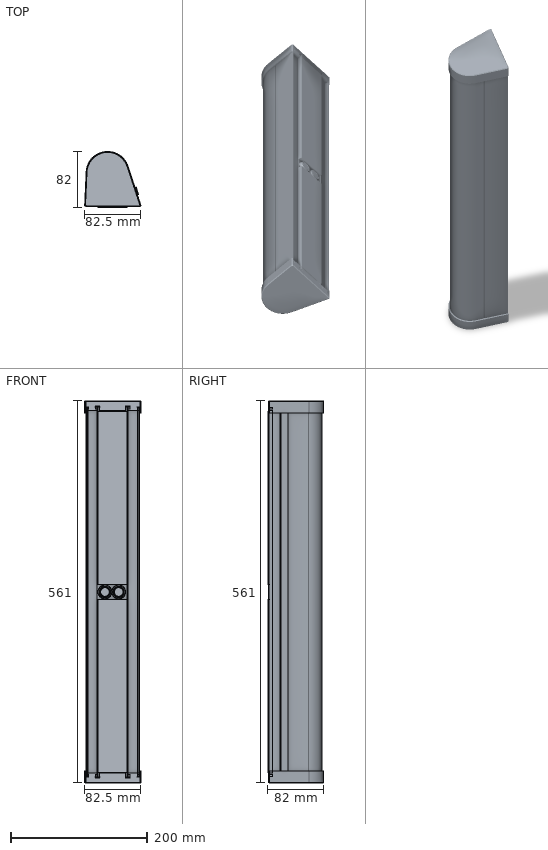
import cadquery as cq
import math

HEIGHT = 561.0
SHARP_WIDTH = 83.0
BACK_RADIUS = 31.5
BACK_CENTRE = (-8.0, 9.5)
CAP_FRONT_Y = -40.0
HOUSING_INSET = 2.15

CAP_HEIGHT = 18.0
CAP_END_CHAMFER = 1.0
CAP_CORNER_CHAMFER = 1.5
FRONT_SKIRT_RAISE = 3.5
HOUSING_TOP_Z = 271.5
TONGUE_WIDTH = 2.0
WINDOW_WIDTH = 6.0
WINDOW_Z = (268.0, 273.0)
CORNER_WINDOW_WIDTH = 3.5
CORNER_WINDOW_Z = (268.0, 271.0)

STRIP_Y = -34.0
LIP_Y = -39.0
LIP_TIP_WIDTH = 1.0
LIP_FOOT_WIDTH = 3.0
LAND_Y = -40.0
LAND_CENTRE_X = -0.5
LAND_FOOT_WIDTH = 46.0
LAND_TIP_WIDTH = 42.5
LAND_TOP_Z = 265.0

GROOVE_Y = -3.0
GROOVE_WIDTH = 1.5
GROOVE_DEPTH = 1.0
RAIL_Y = -18.0
RAIL_WIDTH = 11.0
RAIL_HEIGHT = 4.0

PANEL_FRONT_Y = -41.0
RECESS_HEIGHT = 22.0
RECESS_FLOOR_Y = -35.5

CONNECTOR_PITCH = 20.0
CONNECTOR_CENTRE_X = -1.5
COLLAR_FOOT_DIAMETER = 20.0
COLLAR_TIP_DIAMETER = 16.0
SOCKET_DIAMETER = 13.5
CORE_DIAMETER = 13.0
CONNECTOR_HEIGHT = 4.5


def tangent_angle(corner, side):
    """Outward normal direction of the wall that runs from a cap corner to the round back."""
    dx = corner[0] - BACK_CENTRE[0]
    dy = corner[1] - BACK_CENTRE[1]
    return math.atan2(dy, dx) + side * math.acos(BACK_RADIUS / math.hypot(dx, dy))


LEFT_ANGLE = tangent_angle((-SHARP_WIDTH / 2, CAP_FRONT_Y), -1)
RIGHT_ANGLE = tangent_angle((SHARP_WIDTH / 2, CAP_FRONT_Y), 1)


def wall_point(angle, inset, y):
    """Point at a given Y on the straight wall whose outward normal has this angle."""
    reach = BACK_RADIUS - inset
    x = BACK_CENTRE[0] + (reach - (y - BACK_CENTRE[1]) * math.sin(angle)) / math.cos(angle)
    return (x, y)


def arc_point(angle, inset):
    """Point on the round back in the direction of this angle."""
    reach = BACK_RADIUS - inset
    return (BACK_CENTRE[0] + reach * math.cos(angle), BACK_CENTRE[1] + reach * math.sin(angle))


def wedge(inset, front_y, bottom, top):
    """Prism of the wedge section with its round back, between two heights."""
    return (
        cq.Workplane("XY", origin=(0, 0, bottom))
        .moveTo(*wall_point(LEFT_ANGLE, inset, front_y))
        .lineTo(*wall_point(RIGHT_ANGLE, inset, front_y))
        .lineTo(*arc_point(RIGHT_ANGLE, inset))
        .threePointArc(arc_point(math.pi / 2, inset), arc_point(LEFT_ANGLE, inset))
        .close()
        .extrude(top - bottom)
    )


def block(x_range, y_range, z_range):
    """Box spanning three (low, high) ranges."""
    size = [high - low for low, high in (x_range, y_range, z_range)]
    corner = (x_range[0], y_range[0], z_range[0])
    return cq.Workplane("XY").box(*size, centered=False).translate(corner)


def prism(points, half_height):
    """Polygon in XY extruded evenly to both sides of Z = 0."""
    return cq.Workplane("XY").polyline(points).close().extrude(half_height, both=True)


FOOT_LEFT_X = LAND_CENTRE_X - LAND_FOOT_WIDTH / 2
FOOT_RIGHT_X = LAND_CENTRE_X + LAND_FOOT_WIDTH / 2
TIP_LEFT_X = LAND_CENTRE_X - LAND_TIP_WIDTH / 2
TIP_RIGHT_X = LAND_CENTRE_X + LAND_TIP_WIDTH / 2

TONGUE_LEFT_X = TIP_LEFT_X + TONGUE_WIDTH
TONGUE_RIGHT_X = TIP_RIGHT_X - TONGUE_WIDTH

HOUSING_LEFT_X = wall_point(LEFT_ANGLE, HOUSING_INSET, LIP_Y)[0]
HOUSING_RIGHT_X = wall_point(RIGHT_ANGLE, HOUSING_INSET, LIP_Y)[0]


def front_recess():
    """Full-length recess between the two lips, whose inner sides slope."""
    return prism(
        [
            (HOUSING_LEFT_X + LIP_TIP_WIDTH, LIP_Y),
            (HOUSING_LEFT_X + LIP_FOOT_WIDTH, STRIP_Y),
            (HOUSING_RIGHT_X - LIP_FOOT_WIDTH, STRIP_Y),
            (HOUSING_RIGHT_X - LIP_TIP_WIDTH, LIP_Y),
        ],
        HOUSING_TOP_Z,
    )


def land():
    """Raised land with sloped sides and a connector recess that is open toward -X.

    Only tongues along its two edges reach into the caps.
    """
    solid = prism(
        [
            (FOOT_LEFT_X, STRIP_Y),
            (TIP_LEFT_X, LAND_Y),
            (TIP_RIGHT_X, LAND_Y),
            (FOOT_RIGHT_X, STRIP_Y),
        ],
        HOUSING_TOP_Z,
    )
    between_tongues = (TONGUE_LEFT_X, TONGUE_RIGHT_X)
    for z_range in ((LAND_TOP_Z, HOUSING_TOP_Z), (-HOUSING_TOP_Z, -LAND_TOP_Z)):
        solid = solid.cut(block(between_tongues, (LAND_Y, STRIP_Y), z_range))
    connector_recess = block(
        (FOOT_LEFT_X, TIP_RIGHT_X),
        (LAND_Y, RECESS_FLOOR_Y),
        (-RECESS_HEIGHT / 2, RECESS_HEIGHT / 2),
    )
    return solid.cut(connector_recess)


def wall_bar(angle, y, depth, width):
    """Bar between the caps, square to a housing wall and reaching depth to both sides of it."""
    x, y = wall_point(angle, HOUSING_INSET, y)
    return (
        cq.Workplane("XY")
        .box(2 * depth, width, HEIGHT - 2 * CAP_HEIGHT)
        .rotate((0, 0, 0), (0, 0, 1), math.degrees(angle))
        .translate((x, y, 0))
    )


def make_housing():
    """Main profile with its front recess, land, side groove and rail."""
    return (
        wedge(HOUSING_INSET, LIP_Y, -HOUSING_TOP_Z, HOUSING_TOP_Z)
        .cut(front_recess())
        .union(land())
        .cut(wall_bar(LEFT_ANGLE, GROOVE_Y, GROOVE_DEPTH, GROOVE_WIDTH))
        .union(wall_bar(RIGHT_ANGLE, RAIL_Y, RAIL_HEIGHT, RAIL_WIDTH))
    )


def make_top_cap(housing):
    """Cap over the housing end, with windows in its front skirt for the tongues and lips."""
    top = HEIGHT / 2
    skirt_z = top - CAP_HEIGHT
    cap = wedge(0, CAP_FRONT_Y, skirt_z, top)
    cap = cap.faces("<Y").edges("|Z").chamfer(CAP_CORNER_CHAMFER)
    cap = cap.faces(">Z").edges().chamfer(CAP_END_CHAMFER)

    skirt_y = (CAP_FRONT_Y, STRIP_Y)
    front_x = (HOUSING_LEFT_X, HOUSING_RIGHT_X)
    cap = cap.cut(block(front_x, skirt_y, (skirt_z, skirt_z + FRONT_SKIRT_RAISE)))

    for tongue_side, inner_x, foot_x in (
        (-1, TONGUE_LEFT_X, FOOT_LEFT_X),
        (1, TONGUE_RIGHT_X, FOOT_RIGHT_X),
    ):
        outer_x = inner_x + tongue_side * WINDOW_WIDTH
        window = block(sorted((inner_x, outer_x)), skirt_y, WINDOW_Z)
        stem = block(sorted((inner_x, foot_x)), skirt_y, (skirt_z, WINDOW_Z[1]))
        cap = cap.cut(window).cut(stem)

    left_corner = (HOUSING_LEFT_X, HOUSING_LEFT_X + CORNER_WINDOW_WIDTH)
    right_corner = (HOUSING_RIGHT_X - CORNER_WINDOW_WIDTH, HOUSING_RIGHT_X)
    for corner_x in (left_corner, right_corner):
        cap = cap.cut(block(corner_x, skirt_y, CORNER_WINDOW_Z))
    return cap.cut(housing)


def make_panel(bottom, top):
    """Thin flat panel lying on the land."""
    return block((TIP_LEFT_X, TIP_RIGHT_X), (PANEL_FRONT_Y, LAND_Y), (bottom, top))


def connector_plane(x):
    """Plane on the recess floor at a connector, facing forward."""
    return cq.Workplane("XZ", origin=(x, RECESS_FLOOR_Y, 0))


def make_collar(x):
    """Conical collar with a round socket through it."""
    cone = (
        connector_plane(x)
        .circle(COLLAR_FOOT_DIAMETER / 2)
        .workplane(offset=CONNECTOR_HEIGHT)
        .circle(COLLAR_TIP_DIAMETER / 2)
        .loft()
    )
    return cone.cut(connector_plane(x).circle(SOCKET_DIAMETER / 2).extrude(CONNECTOR_HEIGHT))


def make_core(x):
    """Round core standing in the collar's socket with a small gap around it."""
    return connector_plane(x).circle(CORE_DIAMETER / 2).extrude(CONNECTOR_HEIGHT)


housing = make_housing()
top_cap = make_top_cap(housing)
bottom_cap = top_cap.mirror("XY")
upper_panel = make_panel(RECESS_HEIGHT / 2, LAND_TOP_Z)
lower_panel = make_panel(-LAND_TOP_Z, -RECESS_HEIGHT / 2)
connector_x = [CONNECTOR_CENTRE_X + side * CONNECTOR_PITCH / 2 for side in (-1, 1)]
collars = [make_collar(x) for x in connector_x]
cores = [make_core(x) for x in connector_x]

bodies = [housing, top_cap, bottom_cap, upper_panel, lower_panel, *collars, *cores]
result = cq.Compound.makeCompound([solid for body in bodies for solid in body.solids().vals()])